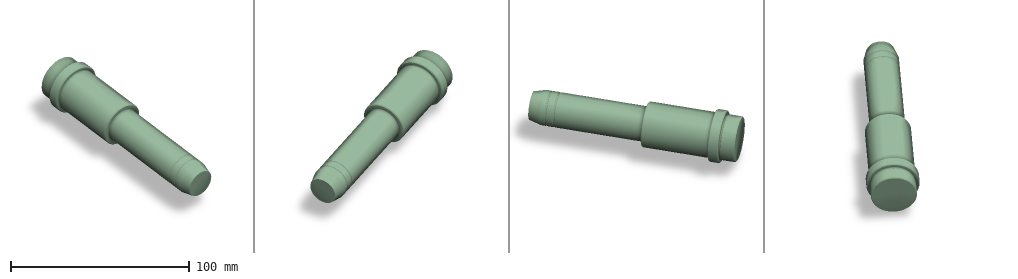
import cadquery as cq
import math

collar_diameter = 30.0
body_diameter = 26.0
shaft_diameter = 20.0

total_length = 120.0
collar_start = 9.0
collar_end = 15.0
body_end = 54.0
taper_start = 113.0
taper_angle = 15.0

body_chamfer = 0.5
collar_chamfer = 0.5
shaft_root_fillet = 0.4

groove_width = 1.0
groove_depth = 0.4
body_groove_starts = (collar_start - groove_width, collar_end)
shaft_groove_starts = (104.5, 109.3)

collar_radius = collar_diameter / 2
body_radius = body_diameter / 2
shaft_radius = shaft_diameter / 2


def revolve_about_x(outline):
    """Turn a closed XY outline into a solid of revolution about the X axis."""
    return outline.close().revolve(360, (0, 0, 0), (1, 0, 0))


def cylinder(start, end, radius):
    """Solid cylinder on the X axis between two positions."""
    return cq.Workplane("YZ", origin=(start, 0, 0)).circle(radius).extrude(end - start)


def cut_round_grooves(solid, starts, radius):
    """Cut round-bottomed ring grooves into a cylinder of the given radius."""
    for start in starts:
        bottom = (start + groove_width / 2, radius - groove_depth)
        end = (start + groove_width, radius)
        outline = cq.Workplane("XY").moveTo(start, radius).threePointArc(bottom, end)
        solid = solid.cut(revolve_about_x(outline))
    return solid


def make_body():
    """Thick end with chamfered rims and a relief groove on each side of the collar."""
    body = cylinder(0, body_end, body_radius).faces("<X or >X").chamfer(body_chamfer)
    return cut_round_grooves(body, body_groove_starts, body_radius)


def make_collar():
    """Locating ring with chamfered rims."""
    return cylinder(collar_start, collar_end, collar_radius).edges().chamfer(collar_chamfer)


def make_shaft():
    """Slim end with a rounded root, two grooves and a conical tip."""
    tip_radius = shaft_radius - (total_length - taper_start) * math.tan(math.radians(taper_angle))
    root_end = body_end + shaft_root_fillet
    root_top = shaft_radius + shaft_root_fillet
    root_bulge = shaft_root_fillet * (1 - math.sqrt(0.5))
    outline = (
        cq.Workplane("XY")
        .moveTo(body_end, 0)
        .lineTo(body_end, root_top)
        .threePointArc((body_end + root_bulge, shaft_radius + root_bulge), (root_end, shaft_radius))
        .lineTo(taper_start, shaft_radius)
        .lineTo(total_length, tip_radius)
        .lineTo(total_length, 0)
    )
    return cut_round_grooves(revolve_about_x(outline), shaft_groove_starts, shaft_radius)


result = make_body().union(make_collar()).union(make_shaft())